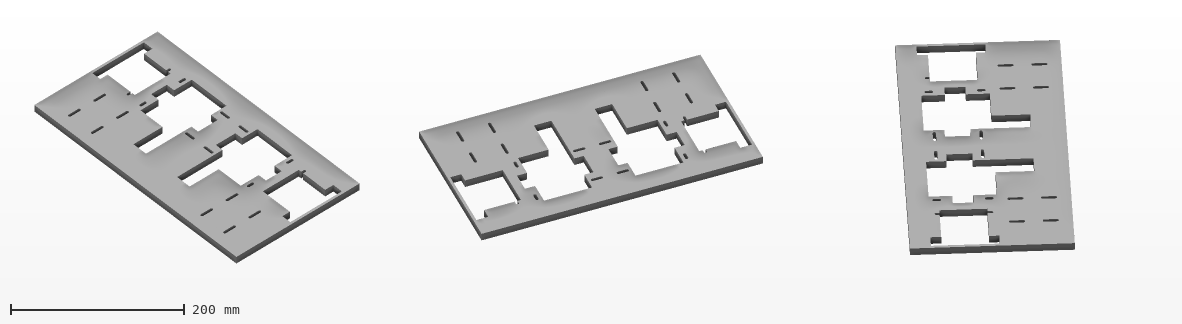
import cadquery as cq

plate_length = 350.0
plate_width = 190.0
plate_thickness = 10.0

outer_window_inner_x = 111.0
outer_window_outer_x = 171.5
outer_window_top_y = 58.0
outer_window_bottom_y = 2.8
strip_top_y = 70.7
strip_bottom_y = -8.8
strip_top_inner_x = 156.8
strip_bottom_inner_x = 158.0

notch_x = 117.0
notch_width = 3.5
notch_top_y = 63.7
notch_bottom_y = -4.0

inner_window_inner_x = 27.0
inner_window_outer_x = 86.8
inner_window_top_y = 69.3
inner_window_bottom_y = -9.8
inner_tab_x = 15.5
inner_tab_top_y = 45.5
inner_tab_bottom_y = 15.5
outer_tab_x = 99.5
outer_tab_top_y = 42.0
outer_tab_bottom_y = 18.0
leg_outer_x = 48.5
leg_bottom_y = -54.5

slot_width = 4.0
long_slot_length = 18.5
long_slot_xs = (95.0, 134.5)
long_slot_ys = (-30.5, -69.3)
short_slot_length = 10.0
short_slot_x = 93.0
short_slot_ys = (60.2, -0.5)
cross_slot_length = 15.0
cross_slot_x = 16.0
cross_slot_ys = (57.5, 3.5)

ALONG_X = 0
ALONG_Y = 90


def box_cutter(x_start, x_end, y_start, y_end):
    """Rectangular cutter through the full plate thickness."""
    return (
        cq.Workplane("XY")
        .center((x_start + x_end) / 2, (y_start + y_end) / 2)
        .rect(abs(x_end - x_start), abs(y_end - y_start))
        .extrude(plate_thickness)
    )


def slot_cutter(points, length, width, direction):
    """Round-ended slots of one size, centred on the given points."""
    return (
        cq.Workplane("XY")
        .pushPoints(points)
        .slot2D(length, width, direction)
        .extrude(plate_thickness)
    )


def notch_cutter(tip_y, mouth_y):
    """Slot centred on the window edge at mouth_y, leaving a round-ended notch up to tip_y."""
    length = 2 * abs(tip_y - mouth_y)
    return slot_cutter([(notch_x, mouth_y)], length, notch_width, ALONG_Y)


def outer_window():
    main = box_cutter(
        outer_window_inner_x, outer_window_outer_x, outer_window_bottom_y, outer_window_top_y
    )
    strip_top = box_cutter(
        strip_top_inner_x, outer_window_outer_x, outer_window_bottom_y, strip_top_y
    )
    strip_bottom = box_cutter(
        strip_bottom_inner_x, outer_window_outer_x, strip_bottom_y, outer_window_top_y
    )
    top_notch = notch_cutter(notch_top_y, outer_window_top_y)
    return main.union(strip_top).union(strip_bottom).union(top_notch)


def inner_window():
    main = box_cutter(
        inner_window_inner_x, inner_window_outer_x, inner_window_bottom_y, inner_window_top_y
    )
    inner_tab = box_cutter(
        inner_tab_x, inner_window_outer_x, inner_tab_bottom_y, inner_tab_top_y
    )
    outer_tab = box_cutter(
        inner_window_inner_x, outer_tab_x, outer_tab_bottom_y, outer_tab_top_y
    )
    leg = box_cutter(inner_window_inner_x, leg_outer_x, leg_bottom_y, inner_window_top_y)
    return main.union(inner_tab).union(outer_tab).union(leg)


def fixing_slots():
    long_points = [(x, y) for x in long_slot_xs for y in long_slot_ys]
    short_points = [(short_slot_x, y) for y in short_slot_ys]
    cross_points = [(cross_slot_x, y) for y in cross_slot_ys]
    long_slots = slot_cutter(long_points, long_slot_length, slot_width, ALONG_Y)
    short_slots = slot_cutter(short_points, short_slot_length, slot_width, ALONG_Y)
    cross_slots = slot_cutter(cross_points, cross_slot_length, slot_width, ALONG_X)
    return long_slots.union(short_slots).union(cross_slots)


result = cq.Workplane("XY").rect(plate_length, plate_width).extrude(plate_thickness)

for half_cutter in (outer_window(), inner_window(), fixing_slots()):
    result = result.cut(half_cutter).cut(half_cutter.mirror("YZ"))

lower_notch = notch_cutter(notch_bottom_y, outer_window_bottom_y)
result = result.cut(lower_notch.mirror("YZ"))